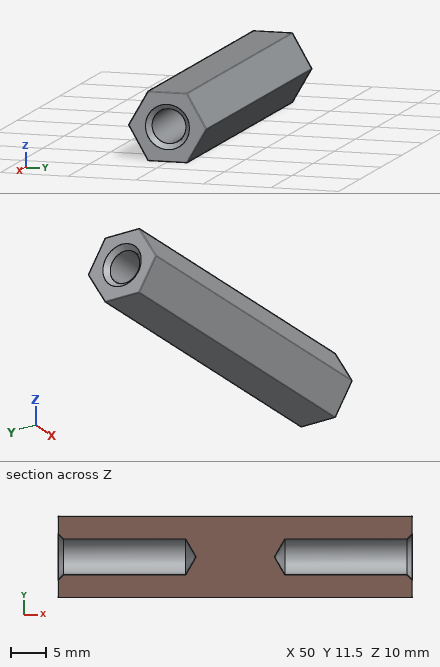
import cadquery as cq
import math

LENGTH = 50.0
ACROSS_FLATS = 10.0
EDGE_RADIUS = 0.1

HOLE_DIAMETER = 5.0
MOUTH_DIAMETER = 6.5
MOUTH_ANGLE = 90.0
HOLE_DEPTH = 18.0
DRILL_POINT_ANGLE = 120.0


def cone_height(radius_change, included_angle):
    """Axial length over which a cone changes its radius by the given amount."""
    return radius_change / math.tan(math.radians(included_angle / 2))


def make_hex_bar():
    """Hexagonal bar centred on the origin, slightly rounded along its edges and around its ends."""
    across_corners = ACROSS_FLATS / math.cos(math.radians(30))
    bar = cq.Workplane("YZ").polygon(6, across_corners).extrude(LENGTH / 2, both=True)
    return bar.edges().fillet(EDGE_RADIUS)


def make_hole():
    """Solid of revolution filling the hole in the -X end: mouth cone, straight bore and drill point."""
    hole_radius = HOLE_DIAMETER / 2
    mouth_radius = MOUTH_DIAMETER / 2
    mouth_depth = cone_height(mouth_radius - hole_radius, MOUTH_ANGLE)
    tip_depth = HOLE_DEPTH + cone_height(hole_radius, DRILL_POINT_ANGLE)
    half_section = (
        cq.Workplane("XY")
        .lineTo(0, mouth_radius)
        .lineTo(mouth_depth, hole_radius)
        .lineTo(HOLE_DEPTH, hole_radius)
        .lineTo(tip_depth, 0)
        .close()
    )
    hole = half_section.revolve(360, (0, 0, 0), (1, 0, 0))
    return hole.translate((-LENGTH / 2, 0, 0))


hole = make_hole()
result = make_hex_bar().cut(hole).cut(hole.mirror("YZ"))